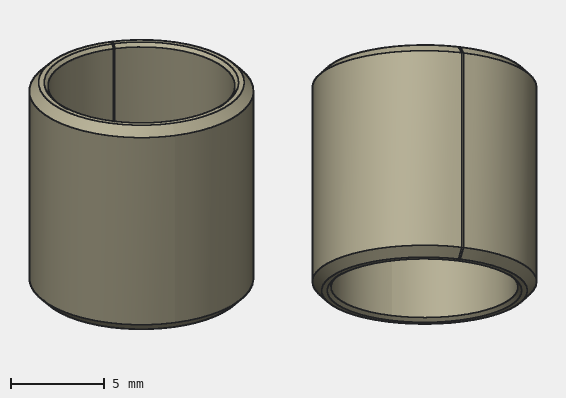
import math

import cadquery as cq

outer_diameter = 12.0
bore_diameter = 10.0
length = 12.0
outer_chamfer = 0.5
bore_chamfer = 0.2
slit_angle = 1.0

outer_radius = outer_diameter / 2
bore_radius = bore_diameter / 2


def make_sleeve():
    """Revolve the wall section, chamfered at all four corners, about Z."""
    section = (
        cq.Workplane("XZ")
        .moveTo(bore_radius, bore_chamfer)
        .lineTo(bore_radius + bore_chamfer, 0)
        .lineTo(outer_radius - outer_chamfer, 0)
        .lineTo(outer_radius, outer_chamfer)
        .lineTo(outer_radius, length - outer_chamfer)
        .lineTo(outer_radius - outer_chamfer, length)
        .lineTo(bore_radius + bore_chamfer, length)
        .lineTo(bore_radius, length - bore_chamfer)
        .close()
    )
    return section.revolve(360, (0, 0, 0), (0, 1, 0))


def make_slit():
    """Full-length wedge with its apex on the axis, reaching past the -X wall."""
    reach = outer_diameter
    opening = reach * math.tan(math.radians(slit_angle))
    return (
        cq.Workplane("XY")
        .moveTo(0, 0)
        .lineTo(-reach, opening)
        .lineTo(-reach, 0)
        .close()
        .extrude(length)
    )


result = make_sleeve().cut(make_slit())